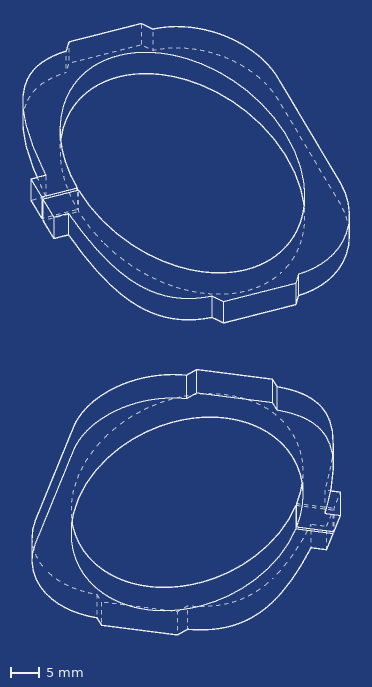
import cadquery as cq

WIDTH = 75.27
THICKNESS = 5.0
TOP_Y = 24.0
BOTTOM_Y = -26.5

OPENING_WIDTH = 62.0
OPENING_HEIGHT = 39.5

RIM_HALF_WIDTH = 35.5
PAD_ROOT_HALF_HEIGHT = 8.2
PAD_FACE_HALF_HEIGHT = 6.85

TOP_FLAT_HALF_WIDTH = 15.1
SHOULDER_SIDE_HANDLE = (35.0, 17.5)
SHOULDER_TOP_HANDLE = (25.2, TOP_Y)

FLANK_SIDE_HANDLE = (34.75, -18.4)
FLANK_LUG_HANDLE = (25.55, -22.5)
FLANK_END_Y = -23.7

LUGS_WIDTH = 11.1
SLIT_WIDTH = 0.6


def mirrored(point):
    """Reflect a point across the YZ symmetry plane."""
    x, y = point
    return (-x, y)


def make_body():
    """Extrude the outer outline, with its side pads and clamp lugs."""
    half_width = WIDTH / 2
    lug_x = LUGS_WIDTH / 2

    top_flat_end = (TOP_FLAT_HALF_WIDTH, TOP_Y)
    pad_upper_root = (RIM_HALF_WIDTH, PAD_ROOT_HALF_HEIGHT)
    pad_upper_corner = (half_width, PAD_FACE_HALF_HEIGHT)
    pad_lower_corner = (half_width, -PAD_FACE_HALF_HEIGHT)
    pad_lower_root = (RIM_HALF_WIDTH, -PAD_ROOT_HALF_HEIGHT)
    flank_end = (lug_x, FLANK_END_Y)
    lug_corner = (lug_x, BOTTOM_Y)

    shoulder = [top_flat_end, SHOULDER_TOP_HANDLE, SHOULDER_SIDE_HANDLE, pad_upper_root]
    flank = [pad_lower_root, FLANK_SIDE_HANDLE, FLANK_LUG_HANDLE, flank_end]
    left_flank = [mirrored(point) for point in reversed(flank)]
    left_shoulder = [mirrored(point) for point in reversed(shoulder)]

    return (
        cq.Workplane("XY")
        .moveTo(*top_flat_end)
        .bezier(shoulder)
        .lineTo(*pad_upper_corner)
        .lineTo(*pad_lower_corner)
        .lineTo(*pad_lower_root)
        .bezier(flank)
        .lineTo(*lug_corner)
        .lineTo(*mirrored(lug_corner))
        .lineTo(*mirrored(flank_end))
        .bezier(left_flank)
        .lineTo(*mirrored(pad_lower_corner))
        .lineTo(*mirrored(pad_upper_corner))
        .lineTo(*mirrored(pad_upper_root))
        .bezier(left_shoulder)
        .close()
        .extrude(THICKNESS)
    )


def make_opening():
    """Oval cutter passing through the full thickness."""
    return cq.Workplane("XY").ellipse(OPENING_WIDTH / 2, OPENING_HEIGHT / 2).extrude(THICKNESS)


def make_slit():
    """Cutter from the opening down through the bottom edge, splitting the lugs."""
    return (
        cq.Workplane("XY", origin=(0, BOTTOM_Y, 0))
        .box(SLIT_WIDTH, -BOTTOM_Y, THICKNESS, centered=(True, False, False))
    )


result = make_body().cut(make_opening()).cut(make_slit())